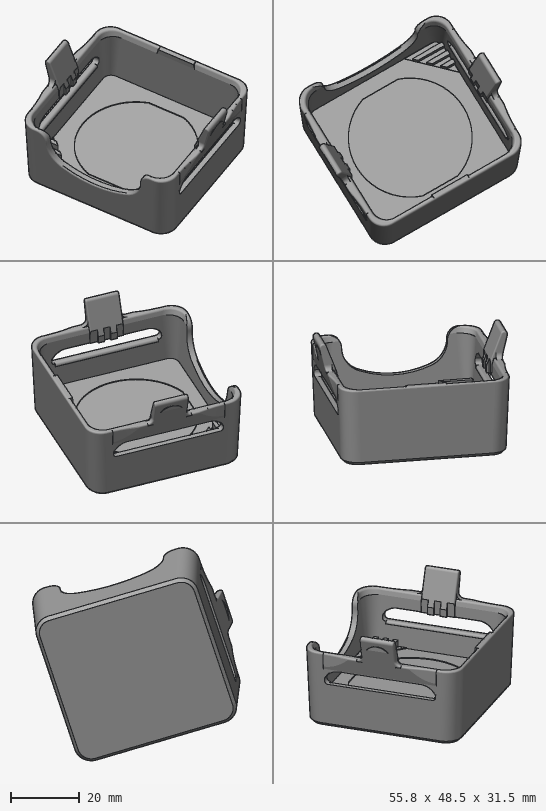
import cadquery as cq
import math

rim_height = 23.5
rim_length = 50.65
rim_width = 48.5
wall_draft = 2.0
corner_radius = 5.0
bottom_chamfer = 1.0
rim_fillet = 0.5

floor_height = 6.25
floor_length = 44.85
floor_width = 42.7
floor_corner_radius = 2.8
lip_height = 21.7
lip_bottom_length = 46.5
lip_bottom_width = 44.7
lip_top_length = 47.5
lip_top_width = 46.05
lip_fillet = 0.65
lip_corner_radius = 4.75
lip_gap_top = 11.95
lip_gap_bottom = 12.8

disc_radius = 18.0
disc_flat_width = 34.0
disc_depth = 0.3

scoop_half_width = 15.7
scoop_shoulder_radius = 3.6
scoop_side_radius = 7.85
scoop_bottom = 10.5

slot_half_width = 17.25
slot_bottom = 13.7
slot_top = 18.3
slot_top_radius = 5.0
slot_top_half_flat = 12.7
slot_bottom_radius = 1.05
slot_sill_fillet = 0.85

overall_length = 55.75
overall_height = 31.5
tip_radius = 1.0
outer_lean = 13.0
inner_lean = 20.8
clip_width = 10.5
clip_edge_fillet = 0.45
clip_root_radius = 1.6
root_inner_x = 24.3
pad_inner_x = 22.8
nub_width = 1.95
nub_spacing = 3.95
nub_projection = 0.7
nub_shoulder_height = 20.65
grip_half_width = 3.35
grip_bottom = 27.6
grip_top = 29.2

flare_half_width = 17.55
flare_bottom = 18.05
flare_radius = 39.05

insert_leg = 11.8
insert_thickness = 0.3
insert_height = 2.25
rib_count = 3
rib_pitch = 3.0
rib_root_width = 1.45
rib_tip_width = 1.1
first_rib_y = -12.95

rim_inset = (rim_height - bottom_chamfer) * math.tan(math.radians(wall_draft))
tip_x = overall_length / 2 - tip_radius
tip_z = overall_height - tip_radius
far = 2 * overall_length


def rounded_loft(bottom_z, bottom_size, bottom_radius, top_z, top_size, top_radius):
    """Solid between two rounded rectangles at different heights."""
    lower = cq.Sketch().rect(*bottom_size).vertices().fillet(bottom_radius)
    upper = cq.Sketch().rect(*top_size).vertices().fillet(top_radius)
    return (
        cq.Workplane("XY", origin=(0, 0, bottom_z))
        .placeSketch(lower, upper.moved(cq.Location(cq.Vector(0, 0, top_z - bottom_z))))
        .loft()
    )


def mirrored_in_x(shape):
    return shape.union(shape.mirror("YZ"))


def tip_tangent(lean, side):
    """Point where a face leaning by `lean` degrees touches the clip's round tip."""
    angle = math.radians(lean)
    return tip_x + side * tip_radius * math.cos(angle), tip_z - side * tip_radius * math.sin(angle)


def outer_face_x(z):
    """X of the clip's leaning outer face at height z."""
    x, touch_z = tip_tangent(outer_lean, 1)
    return x - (touch_z - z) * math.tan(math.radians(outer_lean))


def outer_block():
    base_size = (rim_length - 2 * rim_inset, rim_width - 2 * rim_inset)
    foot_size = tuple(size - 2 * bottom_chamfer for size in base_size)
    walls = rounded_loft(
        bottom_chamfer, base_size, corner_radius, rim_height, (rim_length, rim_width), corner_radius
    )
    foot = rounded_loft(
        0, foot_size, corner_radius - bottom_chamfer, bottom_chamfer, base_size, corner_radius
    )
    return walls.union(foot)


def flare():
    """Swelling of the +X wall: concave arcs in plan, cut back by the clip's outer face."""
    wall_x = rim_length / 2
    arc_end_y = clip_width / 2
    run = flare_half_width - arc_end_y
    mid_run = run / 2

    def rise(distance):
        return flare_radius - math.sqrt(flare_radius**2 - distance**2)

    plan = (
        cq.Workplane("XY", origin=(0, 0, flare_bottom))
        .moveTo(pad_inner_x, -flare_half_width)
        .lineTo(wall_x, -flare_half_width)
        .threePointArc((wall_x + rise(mid_run), -flare_half_width + mid_run), (wall_x + rise(run), -arc_end_y))
        .lineTo(wall_x + rise(run), arc_end_y)
        .threePointArc((wall_x + rise(mid_run), flare_half_width - mid_run), (wall_x, flare_half_width))
        .lineTo(pad_inner_x, flare_half_width)
        .close()
        .extrude(rim_height - flare_bottom)
        .edges("%CIRCLE and >Z").fillet(rim_fillet)
    )
    behind_face = (
        cq.Workplane("XZ")
        .polyline([
            (0, flare_bottom),
            (outer_face_x(flare_bottom), flare_bottom),
            (outer_face_x(rim_height), rim_height),
            (0, rim_height),
        ])
        .close()
        .extrude(flare_half_width, both=True)
        .edges(">X and >Z").fillet(rim_fillet)
    )
    return plan.intersect(behind_face)


def cavity():
    return rounded_loft(
        floor_height, (floor_length, floor_width), floor_corner_radius,
        lip_height, (lip_bottom_length, lip_bottom_width), lip_corner_radius,
    )


def upper_cavity():
    """Continues the cavity to the rim, widened except in the middle of the back wall."""
    height = rim_height - lip_height
    plain = (
        cq.Workplane("XY", origin=(0, 0, lip_height))
        .sketch().rect(lip_bottom_length, lip_bottom_width).vertices().fillet(lip_corner_radius).finalize()
        .extrude(height)
    )
    widened = rounded_loft(
        lip_height, (lip_bottom_length, lip_bottom_width), lip_corner_radius,
        rim_height, (lip_top_length, lip_top_width), lip_corner_radius,
    )
    gap = (
        cq.Workplane("XZ")
        .polyline([
            (-lip_gap_bottom / 2, lip_height),
            (lip_gap_bottom / 2, lip_height),
            (lip_gap_top / 2, rim_height),
            (-lip_gap_top / 2, rim_height),
        ])
        .close()
        .extrude(-rim_width / 2)
    )
    slab = cq.Workplane("XY", origin=(0, 0, rim_height)).rect(far, far).extrude(height)
    rim_edge = cq.selectors.BoxSelector(
        (-rim_length / 2, -rim_width / 2, lip_height + height / 2),
        (rim_length / 2, rim_width / 2, rim_height + height / 2),
        boundingbox=True,
    )
    widened = widened.union(slab).edges(rim_edge).fillet(lip_fillet)
    return widened.cut(gap).union(plain)


def disc_recess():
    disc = cq.Workplane("XY", origin=(0, 0, floor_height - disc_depth)).circle(disc_radius).extrude(disc_depth)
    flats = cq.Workplane("XY").box(far, disc_flat_width, far)
    return disc.intersect(flats)


def scoop():
    """Bowl-shaped opening with rounded shoulders, cut through the front wall."""
    shoulder_z = rim_height - scoop_shoulder_radius
    shoulder_x = scoop_half_width + scoop_shoulder_radius
    diagonal = math.sqrt(0.5)
    shoulder_mid = (shoulder_x - scoop_shoulder_radius * diagonal, shoulder_z + scoop_shoulder_radius * diagonal)
    side_center_x = scoop_half_width - scoop_side_radius
    drop = shoulder_z - scoop_bottom
    bottom_radius = (side_center_x**2 + drop**2 - scoop_side_radius**2) / (2 * (drop - scoop_side_radius))
    bottom_center_z = scoop_bottom + bottom_radius
    join_angle = math.atan2(bottom_center_z - shoulder_z, side_center_x)
    join = (
        side_center_x + scoop_side_radius * math.cos(join_angle),
        shoulder_z - scoop_side_radius * math.sin(join_angle),
    )
    side_mid = (
        side_center_x + scoop_side_radius * math.cos(join_angle / 2),
        shoulder_z - scoop_side_radius * math.sin(join_angle / 2),
    )

    def left(point):
        return -point[0], point[1]

    return (
        cq.Workplane("XZ")
        .moveTo(-shoulder_x, rim_height)
        .threePointArc(left(shoulder_mid), (-scoop_half_width, shoulder_z))
        .threePointArc(left(side_mid), left(join))
        .threePointArc((0, scoop_bottom), join)
        .threePointArc(side_mid, (scoop_half_width, shoulder_z))
        .threePointArc(shoulder_mid, (shoulder_x, rim_height))
        .close()
        .extrude(rim_width / 2)
    )


def slot():
    """Opening through both side walls, with broad arcs at its upper corners."""
    arc_z = slot_top - slot_top_radius
    arc_run = slot_half_width - slot_top_half_flat
    end_angle = math.asin(arc_run / slot_top_radius)
    end_z = arc_z + slot_top_radius * math.cos(end_angle)
    mid_y = slot_top_half_flat + slot_top_radius * math.sin(end_angle / 2)
    mid_z = arc_z + slot_top_radius * math.cos(end_angle / 2)
    return (
        cq.Workplane("YZ")
        .moveTo(-slot_half_width, slot_bottom)
        .lineTo(slot_half_width, slot_bottom)
        .lineTo(slot_half_width, end_z)
        .threePointArc((mid_y, mid_z), (slot_top_half_flat, slot_top))
        .lineTo(-slot_top_half_flat, slot_top)
        .threePointArc((-mid_y, mid_z), (-slot_half_width, end_z))
        .close()
        .extrude(far / 2, both=True)
        .edges("|X and <Z").fillet(slot_bottom_radius)
    )


def clip():
    outer_touch = tip_tangent(outer_lean, 1)
    inner_touch = tip_tangent(inner_lean, -1)
    pad_top = inner_touch[1] - (inner_touch[0] - pad_inner_x) / math.tan(math.radians(inner_lean))
    crown_angle = math.radians((outer_lean + inner_lean) / 2)
    crown = (tip_x + tip_radius * math.sin(crown_angle), tip_z + tip_radius * math.cos(crown_angle))
    slab = (
        cq.Workplane("XZ")
        .moveTo(pad_inner_x, slot_top)
        .lineTo(pad_inner_x, pad_top)
        .lineTo(*inner_touch)
        .threePointArc(crown, outer_touch)
        .lineTo(outer_face_x(slot_top), slot_top)
        .close()
        .extrude(far / 2, both=True)
    )
    tongue = slab.intersect(cq.Workplane("XY").box(far, clip_width, far))
    tongue = tongue.union(slab.intersect(root_profile()))
    outer_sides = cq.selectors.BoxSelector((outer_face_x(rim_height), -far, rim_height), (far, far, far))
    tongue = tongue.edges("not(|Y or |X)").edges(outer_sides).fillet(clip_edge_fillet)
    tongue = tongue.cut(grip())
    for y in (-nub_spacing / 2, nub_spacing / 2):
        tongue = tongue.union(nub(pad_top).translate((0, y, 0)))
    return tongue


def root_profile():
    """Concave corners that carry the clip's sides down onto the rim."""
    half = clip_width / 2
    foot = half + clip_root_radius
    foot_z = rim_height - rim_fillet
    return (
        cq.Workplane("YZ", origin=(root_inner_x, 0, 0))
        .moveTo(-foot, foot_z)
        .lineTo(foot, foot_z)
        .lineTo(foot, rim_height)
        .radiusArc((half, rim_height + clip_root_radius), clip_root_radius)
        .lineTo(-half, rim_height + clip_root_radius)
        .radiusArc((-foot, rim_height), clip_root_radius)
        .close()
        .extrude(far)
    )


def grip():
    """Fingernail notch with an upright back and an arched top."""
    back_x = outer_face_x(grip_bottom)
    return (
        cq.Workplane("YZ", origin=(back_x, 0, 0))
        .moveTo(-grip_half_width, grip_bottom)
        .threePointArc((0, grip_top), (grip_half_width, grip_bottom))
        .close()
        .extrude(far)
    )


def nub(top):
    """Small catch on the inner face of the pad, sloping in from its top."""
    inner_x = pad_inner_x - nub_projection
    return (
        cq.Workplane("XZ")
        .polyline([(pad_inner_x, slot_top), (inner_x, slot_top), (inner_x, nub_shoulder_height), (pad_inner_x, top)])
        .close()
        .extrude(nub_width / 2, both=True)
    )


def round_rim(block):
    """Rounds the outer edge of the rim, following the scoop's front edge."""
    core_x = rim_length / 2 - corner_radius
    core_y = rim_width / 2 - corner_radius
    core = cq.selectors.BoxSelector((-core_x, -core_y, 0), (core_x, core_y, far))
    front = cq.selectors.BoxSelector(
        (-core_x, -far, bottom_chamfer), (core_x, rim_inset - rim_width / 2, rim_height), boundingbox=True
    )
    top = cq.selectors.StringSyntaxSelector(">Z")
    return block.edges((top - core) + front).fillet(rim_fillet)


def sill_rounding():
    """Cutter that rounds the inner edge of the +X slot's sill."""
    rise = (slot_bottom - floor_height) / (lip_height - floor_height)
    wall_x = (floor_length + rise * (lip_bottom_length - floor_length)) / 2
    start_z = slot_bottom - slot_sill_fillet
    return (
        cq.Workplane("XZ")
        .moveTo(wall_x + slot_sill_fillet, slot_bottom)
        .radiusArc((wall_x, start_z), -slot_sill_fillet)
        .lineTo(wall_x - slot_sill_fillet, start_z)
        .lineTo(wall_x - slot_sill_fillet, slot_bottom)
        .close()
        .extrude(slot_half_width - slot_bottom_radius, both=True)
    )


def make_tray():
    hollow = cavity().union(upper_cavity())
    tray = round_rim(outer_block().cut(scoop()))
    tray = tray.union(mirrored_in_x(flare()))
    tray = tray.cut(hollow).cut(slot()).cut(mirrored_in_x(sill_rounding()))
    tray = tray.cut(disc_recess())
    return tray.union(mirrored_in_x(clip()))


def make_insert():
    """Triangular plate in a floor corner with upright ribs, fitted to the cavity walls."""
    corner_x = -floor_length / 2
    corner_y = -floor_width / 2
    reach = rim_inset + bottom_chamfer

    def triangle(height):
        return (
            cq.Workplane("XY", origin=(0, 0, floor_height))
            .polyline([
                (corner_x - reach, corner_y - reach),
                (corner_x + insert_leg + reach, corner_y - reach),
                (corner_x - reach, corner_y + insert_leg + reach),
            ])
            .close()
            .extrude(height)
        )

    insert = triangle(insert_thickness)
    for index in range(rib_count):
        y = first_rib_y - index * rib_pitch
        rib = (
            cq.Workplane("XY", origin=(0, 0, floor_height))
            .polyline([
                (corner_x - reach, y - rib_root_width / 2),
                (corner_x + insert_leg, y - rib_tip_width / 2),
                (corner_x + insert_leg, y + rib_tip_width / 2),
                (corner_x - reach, y + rib_root_width / 2),
            ])
            .close()
            .extrude(insert_height)
        )
        insert = insert.union(rib.intersect(triangle(insert_height)))
    return insert.intersect(cavity())


tray = make_tray()
insert = make_insert()

result = cq.Compound.makeCompound([tray.val(), insert.val()])